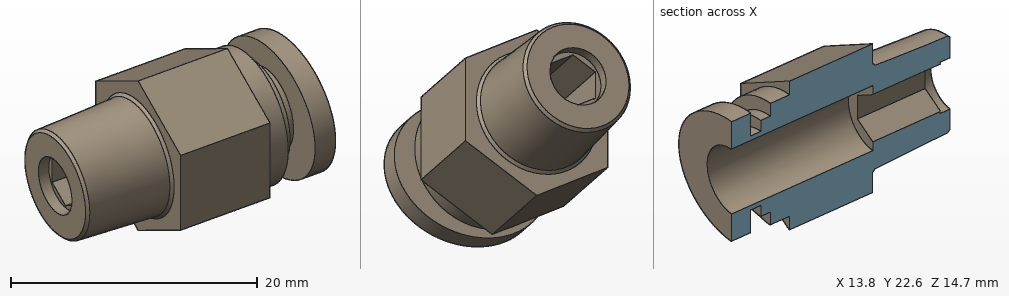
import cadquery as cq
import math

length = 22.6
hex_start = 8.0
hex_end = 16.6
collar_end = 18.6
sleeve_end = 19.6
neck_end = 20.6

nose_chamfer = 0.25
root_flare = 0.25
taper_tip_radius = 4.8
taper_root_radius = 5.13

hex_across_flats = 12.7
collar_diameter = 12.0
sleeve_diameter = 9.5
neck_diameter = 7.35
button_width = 13.79
button_height = 11.8

mouth_diameter = 5.0
mouth_depth = 1.0
socket_across_flats = 4.0
tube_bore_diameter = 6.35
tube_bore_start = 8.0


def section(y):
    """Sketch plane at station y, with its normal along +Y."""
    return cq.Workplane(cq.Plane(origin=(0, y, 0), xDir=(1, 0, 0), normal=(0, 1, 0)))


def cylinder(diameter, start, end):
    return section(start).circle(diameter / 2).extrude(end - start)


def hex_prism(across_flats, start, end):
    """Hexagonal prism with corners pointing up and down."""
    corner_diameter = across_flats / math.cos(math.radians(30))
    prism = section(start).polygon(6, corner_diameter).extrude(end - start)
    return prism.rotate((0, 0, 0), (0, 1, 0), 30)


def tapered_end():
    profile = [
        (0, 0),
        (taper_tip_radius - nose_chamfer, 0),
        (taper_tip_radius, nose_chamfer),
        (taper_root_radius, hex_start - root_flare),
        (taper_root_radius + root_flare, hex_start),
        (0, hex_start),
    ]
    return cq.Workplane("XY").polyline(profile).close().revolve(360, (0, 0), (0, 1))


def release_button():
    outline = section(neck_end).ellipse(button_width / 2, button_height / 2)
    return outline.extrude(length - neck_end)


body = (
    tapered_end()
    .union(hex_prism(hex_across_flats, hex_start, hex_end))
    .union(cylinder(collar_diameter, hex_end, collar_end))
    .union(cylinder(sleeve_diameter, collar_end, sleeve_end))
    .union(cylinder(neck_diameter, sleeve_end, neck_end))
    .union(release_button())
)

result = (
    body
    .cut(cylinder(mouth_diameter, 0, mouth_depth))
    .cut(hex_prism(socket_across_flats, mouth_depth, tube_bore_start))
    .cut(cylinder(tube_bore_diameter, tube_bore_start, length))
)